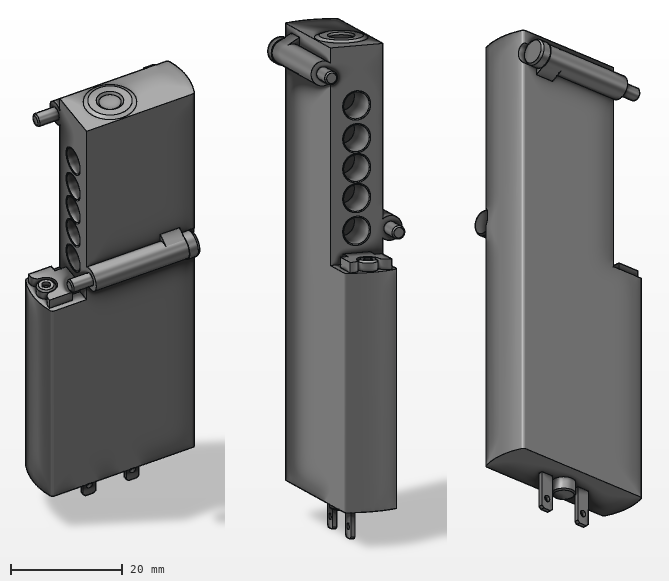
import cadquery as cq
import math

OVERALL_WIDTH = 17.9
WIDTH = 10.2
DEPTH = 31.0
HEIGHT = 91.5

BODY_BOTTOM = 7.1
BODY_TOP = 91.1
STEP_Z = 51.15
PORT_FACE_Y = -7.5
END_RISE = 1.0
CORNER_RADIUS = 0.6

RING_BASE_D = 9.6
RING_TOP_D = 8.0
DIMPLE_TOP_D = 4.9
DIMPLE_FLOOR_D = 4.0

PORT_D = 4.9
PORT_DEPTH = 7.3
PORT_RIM_WIDTH = 0.23
PORT_RIM_DEPTH = 0.1
MIDDLE_PORT_Z = 68.6
INNER_PORT_OFFSET = 5.5
OUTER_PORT_OFFSET = 11.5

HEAD_D = 4.9
SCREW_X = (OVERALL_WIDTH - HEAD_D) / 2
UPPER_SCREW_Z = 86.6
LOWER_SCREW_Z = MIDDLE_PORT_Z - OUTER_PORT_OFFSET
HEAD_BACK_Y = 13.6
HEAD_CHAMFER_LENGTH = 0.5
HEAD_CHAMFER_INSET = 0.3
HEAD_FRONT_Y = 11.4
SLEEVE_D = 4.6
PIN_D = 2.5
PIN_TIP_Y = -11.7
PIN_CHAMFER = 0.3
LUG_FRONT_Y = 7.5
LUG_TIP_X = 7.7
LUG_TIP_HALF = 1.9
LUG_ROOT_HALF = 3.4

LATCH_TOP = 53.1
LATCH_NECK_WIDTH = 5.2
LATCH_WIDTH = 8.05
LATCH_SHOULDER_Y = -9.8
LATCH_FRONT_Y = -14.5
LATCH_SCREW_Y = -13.0
LATCH_BORE_D = 4.0
LATCH_SCREW_D = 3.6
LATCH_SOCKET_D = 1.6
LATCH_SOCKET_DEPTH = 0.9
LATCH_SCREW_CHAMFER = 0.4

POST_D = 4.3
POST_END_Z = 4.6
POST_CHAMFER = 0.3
BLADE_Y = 4.4
BLADE_WIDTH = 2.6
BLADE_THICKNESS = 0.8
BLADE_TIP_CHAMFER = 0.5
BLADE_HOLE_D = 1.2
BLADE_HOLE_Z = 2.2


def cylinder_along_y(diameter, x, z, y_front, y_back):
    """Cylinder parallel to Y between two depths."""
    return cq.Workplane("XZ", origin=(x, y_back, z)).circle(diameter / 2).extrude(y_back - y_front)


def make_body():
    """Slim body with rounded ends, cut back above the step to a flat port face."""
    half_width = WIDTH / 2
    end_y = DEPTH / 2
    side_y = end_y - END_RISE
    body = (
        cq.Workplane("XY", origin=(0, 0, BODY_BOTTOM))
        .moveTo(-half_width, -side_y)
        .threePointArc((0, -end_y), (half_width, -side_y))
        .lineTo(half_width, side_y)
        .threePointArc((0, end_y), (-half_width, side_y))
        .close()
        .extrude(BODY_TOP - BODY_BOTTOM)
        .edges("|Z")
        .fillet(CORNER_RADIUS)
    )
    front_relief = (
        cq.Workplane("XY", origin=(0, PORT_FACE_Y - DEPTH, STEP_Z))
        .box(WIDTH, DEPTH, HEIGHT, centered=(True, False, False))
    )
    return body.cut(front_relief)


def make_top_ring():
    """Low ring with sloped walls around a dimple."""
    ring_profile = [
        (DIMPLE_FLOOR_D / 2, BODY_TOP),
        (RING_BASE_D / 2, BODY_TOP),
        (RING_TOP_D / 2, HEIGHT),
        (DIMPLE_TOP_D / 2, HEIGHT),
    ]
    return cq.Workplane("XZ").polyline(ring_profile).close().revolve()


def make_port(z):
    """Blind port with a shallow countersink at its mouth."""
    bore = cylinder_along_y(PORT_D, 0, z, PORT_FACE_Y, PORT_FACE_Y + PORT_DEPTH)
    mouth = cq.Solid.makeCone(
        PORT_D / 2 + PORT_RIM_WIDTH,
        PORT_D / 2,
        PORT_RIM_DEPTH,
        pnt=cq.Vector(0, PORT_FACE_Y, z),
        dir=cq.Vector(0, 1, 0),
    )
    return bore.union(cq.Workplane(mouth))


def make_screw(side, z):
    """Headed screw with its sleeve and the lug that joins it to the flank."""
    x = side * SCREW_X
    head = (
        cylinder_along_y(HEAD_D, x, z, HEAD_FRONT_Y, HEAD_BACK_Y)
        .faces(">Y")
        .chamfer(HEAD_CHAMFER_LENGTH, HEAD_CHAMFER_INSET)
    )
    sleeve = cylinder_along_y(SLEEVE_D, x, z, PORT_FACE_Y, HEAD_FRONT_Y)
    pin = cylinder_along_y(PIN_D, x, z, PIN_TIP_Y, PORT_FACE_Y).faces("<Y").chamfer(PIN_CHAMFER)
    lug = (
        cq.Workplane("XZ", origin=(0, HEAD_FRONT_Y, z))
        .polyline([
            (0, -LUG_ROOT_HALF),
            (side * WIDTH / 2, -LUG_ROOT_HALF),
            (side * LUG_TIP_X, -LUG_TIP_HALF),
            (side * LUG_TIP_X, LUG_TIP_HALF),
            (side * WIDTH / 2, LUG_ROOT_HALF),
            (0, LUG_ROOT_HALF),
        ])
        .close()
        .extrude(HEAD_FRONT_Y - LUG_FRONT_Y)
    )
    return head.union(sleeve).union(pin).union(lug)


def make_head_clearance(side, z):
    """Scallop in the body that lets the screw slide in from the back."""
    return cylinder_along_y(HEAD_D, side * SCREW_X, z, HEAD_FRONT_Y, DEPTH / 2)


def make_latch():
    """T-shaped plate with a captive screw in a bore that opens to the front."""
    rise = LATCH_TOP - STEP_Z
    step = cq.Workplane("XY", origin=(0, 0, STEP_Z))
    neck_half = LATCH_NECK_WIDTH / 2
    half = LATCH_WIDTH / 2
    plate = step.polyline([
        (-neck_half, PORT_FACE_Y),
        (-neck_half, LATCH_SHOULDER_Y),
        (-half, LATCH_SHOULDER_Y),
        (-half, LATCH_FRONT_Y),
        (half, LATCH_FRONT_Y),
        (half, LATCH_SHOULDER_Y),
        (neck_half, LATCH_SHOULDER_Y),
        (neck_half, PORT_FACE_Y),
    ]).close().extrude(rise)
    bore_radius = LATCH_BORE_D / 2
    bore = step.center(0, LATCH_SCREW_Y).circle(bore_radius).extrude(rise)

    mouth_radius = LATCH_SCREW_Y - LATCH_FRONT_Y
    mouth_half = bore_radius + mouth_radius
    arc_x = mouth_half - mouth_radius * math.sqrt(0.5)
    arc_y = LATCH_SCREW_Y - mouth_radius * math.sqrt(0.5)
    mouth = (
        step.moveTo(-bore_radius, LATCH_SCREW_Y)
        .threePointArc((-arc_x, arc_y), (-mouth_half, LATCH_FRONT_Y))
        .lineTo(mouth_half, LATCH_FRONT_Y)
        .threePointArc((arc_x, arc_y), (bore_radius, LATCH_SCREW_Y))
        .close()
        .extrude(rise)
    )

    screw = (
        step.center(0, LATCH_SCREW_Y)
        .circle(LATCH_SCREW_D / 2)
        .extrude(rise)
        .faces(">Z")
        .chamfer(LATCH_SCREW_CHAMFER)
    )
    socket = (
        cq.Workplane("XY", origin=(0, LATCH_SCREW_Y, LATCH_TOP))
        .circle(LATCH_SOCKET_D / 2)
        .extrude(-LATCH_SOCKET_DEPTH)
    )
    return plate.cut(bore).cut(mouth).union(screw).cut(socket)


def make_post():
    """Short round post between the terminals."""
    return (
        cq.Workplane("XY", origin=(0, 0, POST_END_Z))
        .circle(POST_D / 2)
        .extrude(BODY_BOTTOM - POST_END_Z)
        .faces("<Z")
        .chamfer(POST_CHAMFER)
    )


def make_blade(y):
    """Flat terminal with a chamfered tip and a cross hole."""
    hole = cq.Workplane("YZ").center(y, BLADE_HOLE_Z).circle(BLADE_HOLE_D / 2)
    return (
        cq.Workplane("XY", origin=(0, y, 0))
        .rect(BLADE_THICKNESS, BLADE_WIDTH)
        .extrude(BODY_BOTTOM)
        .edges("|X and <Z")
        .chamfer(BLADE_TIP_CHAMFER)
        .cut(hole.extrude(BLADE_THICKNESS, both=True))
    )


screw_places = [(-1, UPPER_SCREW_Z), (1, LOWER_SCREW_Z)]
port_offsets = [-OUTER_PORT_OFFSET, -INNER_PORT_OFFSET, 0, INNER_PORT_OFFSET, OUTER_PORT_OFFSET]

result = make_body().union(make_top_ring()).union(make_latch()).union(make_post())

for side, screw_z in screw_places:
    result = result.cut(make_head_clearance(side, screw_z)).union(make_screw(side, screw_z))

for offset in port_offsets:
    result = result.cut(make_port(MIDDLE_PORT_Z + offset))

for blade_y in (-BLADE_Y, BLADE_Y):
    result = result.union(make_blade(blade_y))